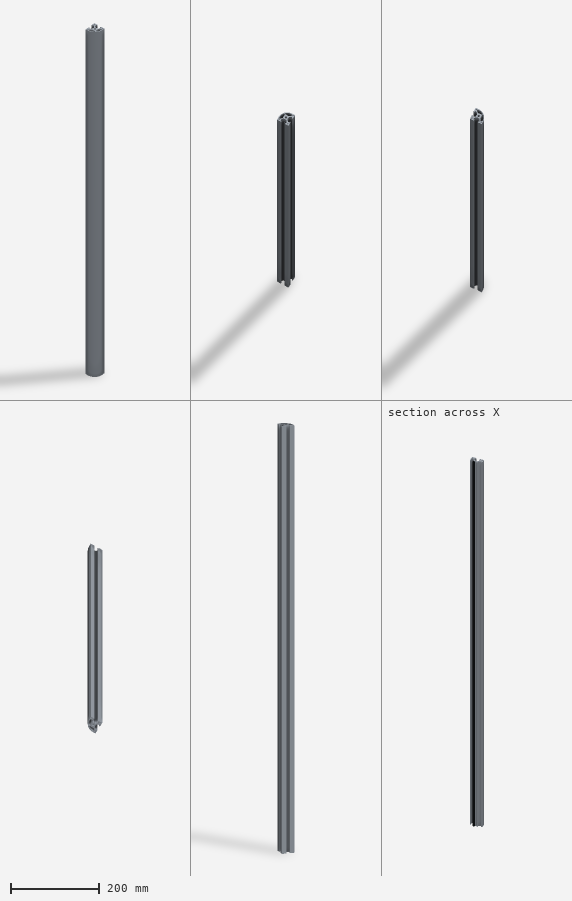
import cadquery as cq
import math

SIDE = 30.0
LENGTH = 1000.0
HALF = SIDE / 2

CORNER_RADIUS = 22.5
CURVED_WALL = 1.5
ARC_CENTER_X = HALF - CORNER_RADIUS
ARC_CENTER_Y = -ARC_CENTER_X

SLOT_OPENING = 8.1
REBATE_STEP = 1.3
REBATE_DEPTH = 1.4
LIP_THICKNESS = 2.3
SLOT_INNER_WIDTH = 14.2
TAPER_START_DEPTH = 5.0
SLOT_FLOOR_WIDTH = 8.2
SLOT_DEPTH = 9.6
FLOOR_GROOVE_WIDTH = 2.6
FLOOR_GROOVE_DEPTH = 0.6

BORE_DIAMETER = 5.1

CHAMBER_INNER_X = 5.8
CHAMBER_OUTER_X = 12.9
CHAMBER_SHOULDER_Y = 4.5
CHAMBER_TOP_Y = 9.0
CHAMBER_TAPER_RUN = 3.85
WEB_HALF_OFFSET = 1.5 * math.sqrt(0.5)

HOLLOW_SIDE = 2.4
HOLLOW_WALL = 2.3
HOLLOW_CENTER = HALF - HOLLOW_WALL - HOLLOW_SIDE / 2


def prism(points):
    """Extrude a polygon over the full length."""
    return cq.Workplane("XY").polyline(points).close().extrude(LENGTH)


def mirror_in_diagonal(body):
    """Swap a full-length body across the diagonal y = -x."""
    turned = body.rotate((0, 0, 0), (1, -1, 0), 180)
    return turned.translate((0, 0, LENGTH))


def make_blank():
    apex_reach = ARC_CENTER_X + CORNER_RADIUS * math.sqrt(0.5)
    return (
        cq.Workplane("XY")
        .moveTo(-HALF, -HALF)
        .lineTo(ARC_CENTER_X, -HALF)
        .threePointArc((apex_reach, -apex_reach), (HALF, ARC_CENTER_Y))
        .lineTo(HALF, HALF)
        .lineTo(-HALF, HALF)
        .close()
        .extrude(LENGTH)
    )


def make_top_slot():
    """The slot in the +Y face."""
    half_opening = SLOT_OPENING / 2
    half_rebate = half_opening + REBATE_STEP
    half_inner = SLOT_INNER_WIDTH / 2
    half_groove = FLOOR_GROOVE_WIDTH / 2
    floor_y = HALF - SLOT_DEPTH
    right_side = [
        (half_rebate, HALF),
        (half_rebate, HALF - REBATE_DEPTH),
        (half_opening, HALF - REBATE_DEPTH),
        (half_opening, HALF - LIP_THICKNESS),
        (half_inner, HALF - LIP_THICKNESS),
        (half_inner, HALF - TAPER_START_DEPTH),
        (SLOT_FLOOR_WIDTH / 2, floor_y),
        (half_groove, floor_y),
        (half_groove, floor_y - FLOOR_GROOVE_DEPTH),
    ]
    left_side = [(-x, y) for x, y in reversed(right_side)]
    return prism(right_side + left_side)


def make_right_chamber():
    """The chamber next to the +X face, closed below by the web and the curved wall."""
    outline = prism(
        [
            (CHAMBER_INNER_X, WEB_HALF_OFFSET - CHAMBER_INNER_X),
            (CHAMBER_INNER_X, CHAMBER_SHOULDER_Y),
            (CHAMBER_INNER_X + CHAMBER_TAPER_RUN, CHAMBER_TOP_Y),
            (CHAMBER_OUTER_X, CHAMBER_TOP_Y),
            (CHAMBER_OUTER_X, WEB_HALF_OFFSET - CHAMBER_OUTER_X),
        ]
    )
    inside_curved_wall = (
        cq.Workplane("XY")
        .center(ARC_CENTER_X, ARC_CENTER_Y)
        .circle(CORNER_RADIUS - CURVED_WALL)
        .extrude(LENGTH)
    )
    return outline.intersect(inside_curved_wall)


def make_corner_hollows():
    square_corners = [(-1, 1), (1, 1), (-1, -1)]
    centers = [(sx * HOLLOW_CENTER, sy * HOLLOW_CENTER) for sx, sy in square_corners]
    return cq.Workplane("XY").pushPoints(centers).rect(HOLLOW_SIDE, HOLLOW_SIDE).extrude(LENGTH)


def make_bore():
    return cq.Workplane("XY").circle(BORE_DIAMETER / 2).extrude(LENGTH)


result = make_blank()
for cutter in (make_top_slot(), make_right_chamber()):
    result = result.cut(cutter).cut(mirror_in_diagonal(cutter))
result = result.cut(make_corner_hollows()).cut(make_bore())